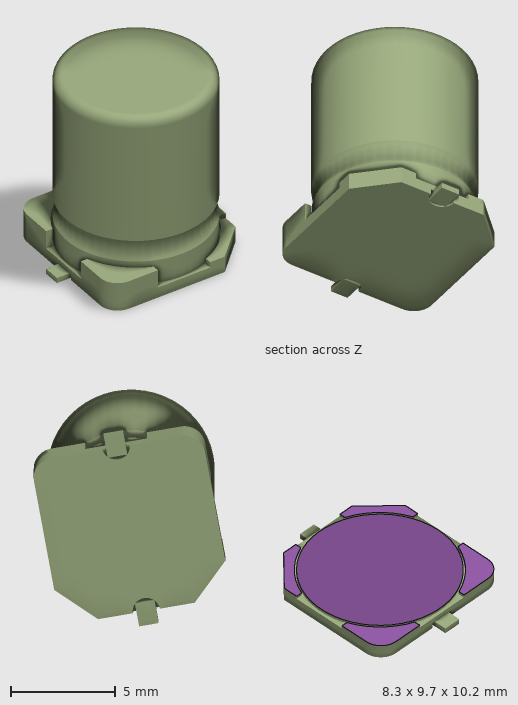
import cadquery as cq
import math

total_height = 10.2

base_side = 8.3
front_wall_height = 1.6
back_wall_height = 0.9
floor_height = 0.59
corner_chamfer = 1.81
corner_radius = 1.0
channel_width = 3.0
seat_radius = 4.08

can_radius = 4.0
can_top_fillet = 0.5
groove_bottom = 1.9
groove_height = 1.2
groove_depth = 0.16

lead_span = 9.7
lead_width = 0.95
lead_thickness = 0.3
notch_radius = 0.65

lead_buried_length = math.sqrt(notch_radius**2 - (lead_width / 2) ** 2)

lead_length = (lead_span - base_side) / 2 + lead_buried_length
lead_center = (lead_span - lead_length) / 2
end_sides = (-1, 1)


def slab(width, depth, bottom, top):
    """Block centred on the Z axis between two heights."""
    return cq.Workplane("XY").workplane(offset=bottom).rect(width, depth).extrude(top - bottom)


def make_notch(side):
    """Open-bottomed round notch centred on an outer face of the base."""
    notch = cq.Workplane("XY").center(0, side * base_side / 2)
    return notch.circle(notch_radius).extrude(lead_thickness)


def make_base():
    """Square base with four corner walls, a round seat and two lead notches."""
    base = slab(base_side, base_side, 0, front_wall_height)
    base = base.edges("|Z and >Y").chamfer(corner_chamfer)
    base = base.edges("|Z and <Y").fillet(corner_radius)

    back_relief = slab(base_side, base_side, back_wall_height, front_wall_height)
    base = base.cut(back_relief.translate((0, base_side / 2, 0)))

    base = base.cut(slab(base_side, channel_width, floor_height, front_wall_height))
    base = base.cut(slab(channel_width, base_side, floor_height, front_wall_height))

    seat = cq.Workplane("XY").workplane(offset=floor_height).circle(seat_radius)
    base = base.cut(seat.extrude(front_wall_height - floor_height))

    for side in end_sides:
        base = base.cut(make_notch(side))
    return base


def make_can():
    """Round can standing on the base floor, with a rolled groove near its foot."""
    groove_top = groove_bottom + groove_height
    groove_middle = groove_bottom + groove_height / 2
    can = (
        cq.Workplane("XZ")
        .moveTo(0, floor_height)
        .lineTo(can_radius, floor_height)
        .lineTo(can_radius, groove_bottom)
        .threePointArc((can_radius - groove_depth, groove_middle), (can_radius, groove_top))
        .lineTo(can_radius, total_height)
        .lineTo(0, total_height)
        .close()
        .revolve(360, (0, 0, 0), (0, 1, 0))
    )
    return can.faces(">Z").edges().fillet(can_top_fillet)


def make_lead(side):
    """Flat lead running from inside its notch out past the base."""
    lead = slab(lead_width, lead_length, 0, lead_thickness)
    return lead.translate((0, side * lead_center, 0))


base = make_base()
can = make_can()
leads = [make_lead(side) for side in end_sides]

result = cq.Compound.makeCompound([base.val(), can.val(), *[lead.val() for lead in leads]])